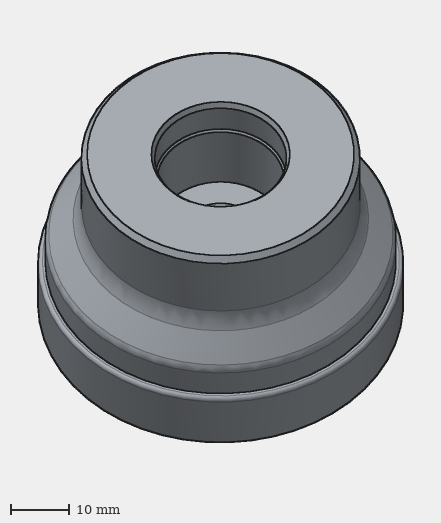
import cadquery as cq
import math

height = 40.0
base_radius = 31.5
body_radius = 30.25
neck_radius = 24.0

base_top = 12.0
shoulder_bottom = 18.3
shoulder_top = shoulder_bottom + body_radius - neck_radius
base_round = 0.75
shoulder_round = 2.0
neck_round = 5.0
neck_chamfer = 1.0

entry_radius = 11.35
entry_depth = 6.5
entry_chamfer_depth = 1.0
entry_chamfer_width = entry_chamfer_depth * math.tan(math.radians(30))
bore_radius = 10.95
bore_depth = height / 2
step_chamfer = entry_radius - bore_radius
hole_radius = 5.5
hole_chamfer = 0.6


def revolve_profile(points):
    """Revolve a closed (radius, height) outline about the Z axis."""
    return cq.Workplane("XZ").polyline(points).close().revolve(360, (0, 0), (0, 1))


def circle_edges(solid, radius, level):
    """Select the circular edge of a given radius, centred on Z at a given level."""
    tolerance = 0.005
    reach = radius + tolerance
    edges = solid.edges(
        cq.selectors.BoxSelector(
            (-reach, -reach, level - tolerance),
            (reach, reach, level + tolerance),
            boundingbox=True,
        )
    )
    return edges.filter(lambda edge: abs(edge.radius() - radius) < tolerance)


def make_outside():
    """Base flange, body, conical shoulder and neck with their edge treatments."""
    outside = revolve_profile([
        (0, 0),
        (base_radius, 0),
        (base_radius, base_top),
        (body_radius, base_top),
        (body_radius, shoulder_bottom),
        (neck_radius, shoulder_top),
        (neck_radius, height),
        (0, height),
    ])
    outside = circle_edges(outside, base_radius, 0).fillet(base_round)
    outside = circle_edges(outside, base_radius, base_top).fillet(base_round)
    outside = circle_edges(outside, body_radius, shoulder_bottom).fillet(shoulder_round)
    outside = circle_edges(outside, neck_radius, shoulder_top).fillet(neck_round)
    return circle_edges(outside, neck_radius, height).chamfer(neck_chamfer)


def make_bore():
    """Chamfered entry, slightly narrower bore and chamfered through hole."""
    entry_bottom = height - entry_depth
    bore_floor = height - bore_depth
    return revolve_profile([
        (0, 0),
        (hole_radius, 0),
        (hole_radius, bore_floor - hole_chamfer),
        (hole_radius + hole_chamfer, bore_floor),
        (bore_radius, bore_floor),
        (bore_radius, entry_bottom - step_chamfer),
        (entry_radius, entry_bottom),
        (entry_radius, height - entry_chamfer_depth),
        (entry_radius + entry_chamfer_width, height),
        (0, height),
    ])


result = make_outside().cut(make_bore())